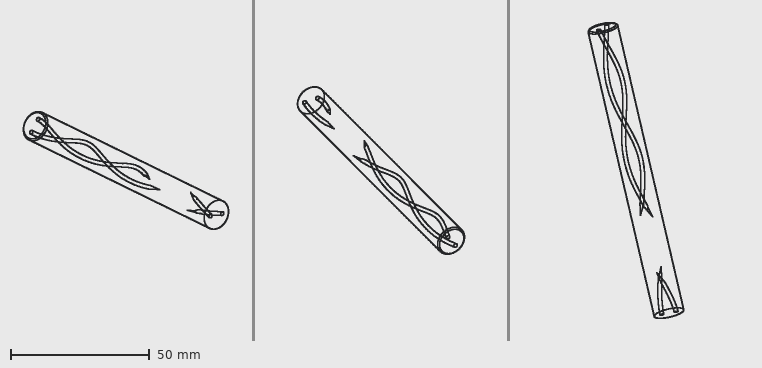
import cadquery as cq
import math

rod_length = 110.0
rod_diameter = 11.0
chamfer_size = 0.5

channel_diameter = 1.4
channel_spacing = 5.3
channel_start_angle = 55.0
channel_overrun = 1.1
surface_helix_angle = 30.0

channel_orbit_radius = channel_spacing / 2
helix_pitch = math.pi * rod_diameter / math.tan(math.radians(surface_helix_angle))


def make_rod():
    """Plain cylinder with a chamfer on its -X end."""
    rod = cq.Workplane("YZ").circle(rod_diameter / 2).extrude(rod_length)
    return rod.faces("<X").chamfer(chamfer_size)


def make_channel(angle):
    """Helical channel through the full length, starting at the given angle."""
    path = cq.Wire.makeHelix(helix_pitch, rod_length + channel_overrun, channel_orbit_radius)
    channel = (
        cq.Workplane("XY")
        .center(channel_orbit_radius, 0)
        .circle(channel_diameter / 2)
        .sweep(cq.Workplane(obj=path), isFrenet=True)
    )
    along_x = channel.rotate((0, 0, 0), (1, 1, 1), 120)
    return along_x.rotate((0, 0, 0), (1, 0, 0), angle)


result = make_rod()
for half_turn in (0, 180):
    result = result.cut(make_channel(channel_start_angle + half_turn))